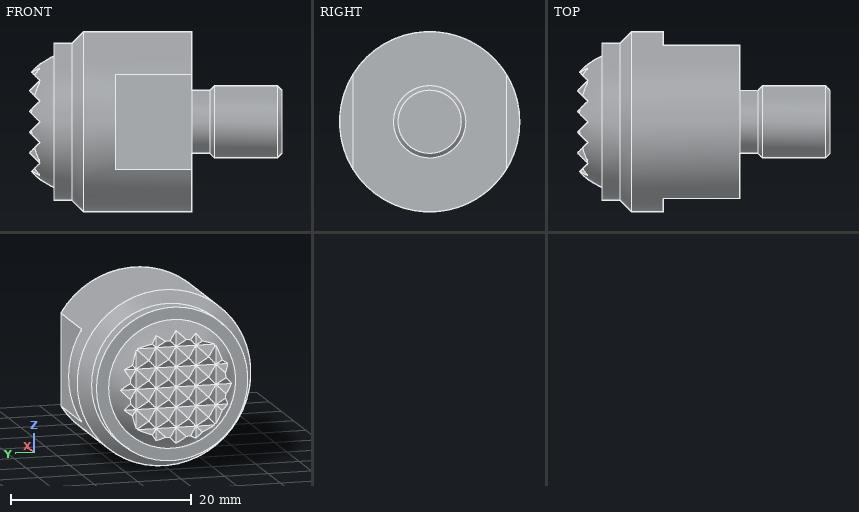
import cadquery as cq

overall_length = 28.0

body_diameter = 20.0
collar_diameter = 17.42
collar_front = 2.72
bevel_front = 4.7
shoulder = 18.0
flat_start = 9.52
width_across_flats = 17.0

stud_diameter = 8.0
neck_length = 2.0
stud_chamfer = 0.5

ball_radius = 8.0
ball_center = 6.0
serration_pitch = 2.3
groove_steps = range(-2, 3)

body_radius = body_diameter / 2
collar_radius = collar_diameter / 2
bevel_size = body_radius - collar_radius
bevel_end = bevel_front + bevel_size
stud_radius = stud_diameter / 2
neck_radius = stud_radius - stud_chamfer
neck_end = shoulder + neck_length


def make_sphere():
    """Full sphere shared by the ball and the socket that holds it."""
    return (
        cq.Workplane("XY")
        .moveTo(ball_center - ball_radius, 0)
        .threePointArc((ball_center, ball_radius), (ball_center + ball_radius, 0))
        .close()
        .revolve(360, (0, 0, 0), (1, 0, 0))
    )


def make_turned_housing():
    """Head, neck and stud revolved about the X axis."""
    return (
        cq.Workplane("XY")
        .moveTo(collar_front, 0)
        .lineTo(collar_front, collar_radius)
        .lineTo(bevel_front, collar_radius)
        .lineTo(bevel_end, body_radius)
        .lineTo(shoulder, body_radius)
        .lineTo(shoulder, neck_radius)
        .lineTo(neck_end, neck_radius)
        .lineTo(neck_end + stud_chamfer, stud_radius)
        .lineTo(overall_length - stud_chamfer, stud_radius)
        .lineTo(overall_length, neck_radius)
        .lineTo(overall_length, 0)
        .close()
        .revolve(360, (0, 0, 0), (1, 0, 0))
    )


def make_flat_cutter(side):
    """Block that cuts one wrench flat on the +Y (side = 1) or -Y (side = -1) face."""
    flat_length = shoulder - flat_start
    block_depth = body_radius
    center_y = side * (width_across_flats + block_depth) / 2
    return (
        cq.Workplane("XY")
        .box(flat_length, block_depth, body_diameter)
        .translate((flat_start + flat_length / 2, center_y, 0))
    )


def make_housing():
    """Turned housing with two wrench flats and a spherical socket."""
    housing = make_turned_housing()
    for side in (-1, 1):
        housing = housing.cut(make_flat_cutter(side))
    return housing.cut(make_sphere())


def make_groove(offset):
    """90 degree V groove along Z, centred at Y = offset and open toward -X."""
    root_depth = serration_pitch / 2
    reach = ball_radius
    mouth_half_width = root_depth + reach
    return (
        cq.Workplane("XY")
        .moveTo(root_depth, offset)
        .lineTo(-reach, offset - mouth_half_width)
        .lineTo(-reach, offset + mouth_half_width)
        .close()
        .extrude(ball_radius, both=True)
    )


def make_ball():
    """Ball whose front is cut into pyramids by two crossing sets of V grooves."""
    ball = make_sphere()
    for step in groove_steps:
        groove = make_groove(step * serration_pitch)
        crossing_groove = groove.rotate((0, 0, 0), (1, 0, 0), 90)
        ball = ball.cut(groove).cut(crossing_groove)
    return ball


housing = make_housing().solids()
ball = make_ball().solids()

result = cq.Compound.makeCompound([housing.val(), ball.val()])